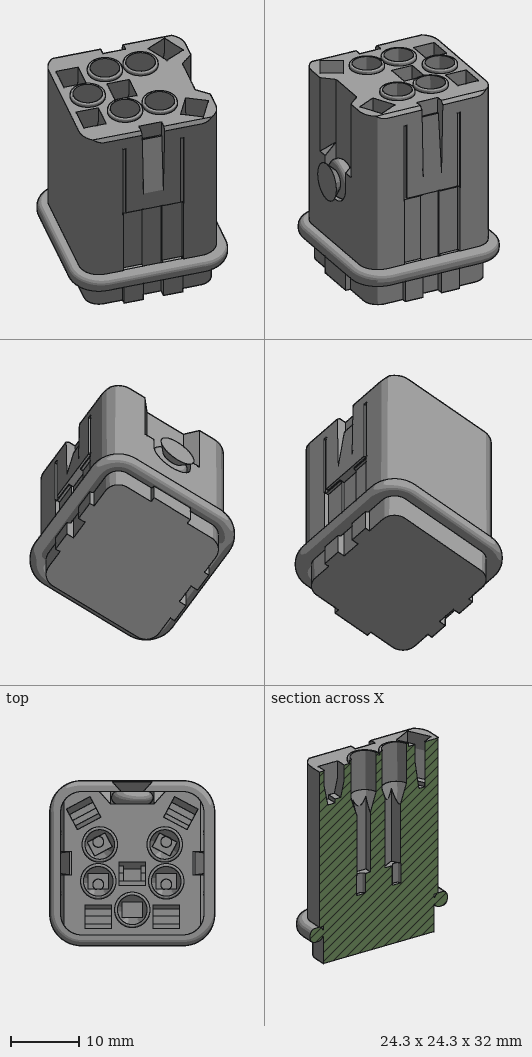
import cadquery as cq

TOTAL_HEIGHT = 32
COLLAR_HEIGHT = 0.5
TOP_Z = TOTAL_HEIGHT - COLLAR_HEIGHT

BODY_SIDE = 21.05
BODY_CORNER = 3.07
BASE_INSET = 0.77
BODY_HALF = BODY_SIDE / 2
BASE_HALF = BODY_HALF - BASE_INSET
TOP_CHAMFER = 0.5

RING_SIDE = 24.3
RING_BOTTOM_Z = 3.85
RING_HEIGHT = 2.37
RING_ROUND = 1.0
RING_WIDTH = RING_SIDE / 2 - BASE_HALF
BODY_SETTLE = 0.13
RING_TOP_Z = RING_BOTTOM_Z + RING_HEIGHT
BODY_BOTTOM_Z = RING_TOP_Z - BODY_SETTLE

COLLAR_DIAMETER = 5.2
COLLAR_ROUND = 0.25
BORE_MOUTH_DIAMETER = 4.35
CAVITY_LENGTH = 2.95
CAVITY_WIDTH = 2.3
CAVITY_FLOOR_Z = 12.8
BORE_CONE_TOP_Z = 25.6
BORE_CONE_HEIGHT = 3.2
WIRE_HOLE_DIAMETER = 1.6
WIRE_HOLE_DEPTH = 3.2
CORNER_ANGLE = 28
SIDE_X = 5.0
WIRE_HOLE_Y = 3.15
UPPER_BORE = (4.77, 2.75)
MIDDLE_BORE = (SIDE_X, -2.65)
LOWER_BORE = (0, -6.85)

POCKET_LENGTH = 3.9
POCKET_WIDTH = 3.42
POCKET_LIP = 2.55
POCKET_LEAN = 2.55
POCKET_STEP = 0.65
POCKET_STEP_Y = 0.13
POCKET_FAR_SLOPE = 0.58
POCKET_NEAR_SLOPE = 0.65
CORNER_POCKET_SLOPE = 0.93
CORNER_POCKET_LEAN = 4.15
CORNER_POCKET_STEP_Y = -0.2
FRONT_POCKET = (SIDE_X, -7.87)
CORNER_POCKET = (7.15, 7.35)
CENTER_POCKET = (0, -1.57)
CENTER_SLOT_LENGTH = 2.55
CENTER_SLOT_SLOPE = 1.02
CENTER_SLOT_DEPTH = POCKET_LIP + POCKET_LEAN * CENTER_SLOT_SLOPE / POCKET_FAR_SLOPE

LATCH_TOP_Z = 29.02
LATCH_BOTTOM_Z = 17.0
LATCH_HALF = 4.2
LATCH_SLOT = 0.5
LATCH_SLOT_DEPTH = 0.35
LATCH_LEDGE = 0.32
RAMP_BOTTOM_Z = 19.9
NOTCH_DEPTH = 1.6
RAMP_DEPTH = 1.35
RAMP_TOP_WIDTH = 3.5
RAMP_BOTTOM_WIDTH = 3.05
CHANNEL_HALF = 4.6
CHANNEL_DEPTH = BASE_INSET
GROOVE_HALF = 1.55
GROOVE_DEPTH = 1.15
RIB_WIDTH = 2.98

SCREW_Z = 16.8
NOTCH_BACK_Y = 8.7
NOTCH_MOUTH_HALF = 4.83
NOTCH_BACK_HALF = 3.2
NOTCH_FLOOR_Z = 19.35
KNOB_DIAMETER = 6.08
KNOB_FRONT_Y = 10.55
KNOB_ROUND = 0.9
SCREW_NECK_DIAMETER = 3.3
SCREW_HEAD_DIAMETER = 5.82
SCREW_FRONT_Y = 11.95

CLEAR = 0.32


def block(x, y, z):
    """Box filling the given (low, high) ranges."""
    size = (x[1] - x[0], y[1] - y[0], z[1] - z[0])
    return cq.Workplane("XY").box(*size, centered=False).translate((x[0], y[0], z[0]))


def rounded_prism(half_side, corner, z_low, z_high):
    side = 2 * half_side
    prism = cq.Workplane("XY").workplane(offset=z_low).rect(side, side).extrude(z_high - z_low)
    return prism.edges("|Z").fillet(corner)


def mirrored_pair(shape):
    """The shape together with its mirror image across X = 0."""
    return shape.union(shape.mirror("YZ"))


def turned_about_screw(profile_points):
    """Solid of revolution around the screw axis, from (radius, y) points."""
    profile = cq.Workplane("XY").polyline(profile_points).close()
    return profile.revolve(360, (0, 0), (0, 1)).translate((0, 0, SCREW_Z))


def housing():
    body = rounded_prism(BODY_HALF, BODY_CORNER, BODY_BOTTOM_Z, TOP_Z)
    base = rounded_prism(BASE_HALF, BODY_CORNER - BASE_INSET, 0, BODY_BOTTOM_Z)
    edge_cut = (
        cq.Workplane("XZ")
        .moveTo(-BODY_HALF, TOP_Z - TOP_CHAMFER)
        .lineTo(-BODY_HALF, TOP_Z)
        .lineTo(-BODY_HALF + TOP_CHAMFER, TOP_Z)
        .close()
        .extrude(BODY_HALF, both=True)
    )
    return body.cut(mirrored_pair(edge_cut)).union(base)


def sealing_ring():
    corner = BODY_CORNER - BASE_INSET
    outer = rounded_prism(RING_SIDE / 2, corner + RING_WIDTH, RING_BOTTOM_Z, RING_TOP_Z)
    inner = rounded_prism(BASE_HALF, corner, RING_BOTTOM_Z, RING_TOP_Z)
    return outer.cut(inner).faces("<Z or >Z").edges().fillet(RING_ROUND)


def base_ribs():
    """Two ribs on each X side and one on the +Y side, flush with the body above."""
    rib_y = (GROOVE_HALF, GROOVE_HALF + RIB_WIDTH)
    rib_z = (0, BODY_BOTTOM_Z)
    ribs = block((-BODY_HALF, -BASE_HALF), rib_y, rib_z)
    ribs = mirrored_pair(ribs.union(ribs.mirror("XZ")))
    back_rib = block((-NOTCH_BACK_HALF, NOTCH_BACK_HALF), (BASE_HALF, BODY_HALF), rib_z)
    return ribs.union(back_rib)


def latch_cuts():
    def recess(depth, half_width, z_low, z_high):
        x_range = (-BODY_HALF - CLEAR, -BODY_HALF + depth)
        return block(x_range, (-half_width, half_width), (z_low, z_high))

    ledge_z = LATCH_BOTTOM_Z - LATCH_LEDGE
    frame = recess(LATCH_SLOT_DEPTH, LATCH_HALF + LATCH_SLOT, ledge_z, LATCH_TOP_Z)
    frame = frame.cut(recess(LATCH_SLOT_DEPTH, LATCH_HALF, LATCH_BOTTOM_Z, LATCH_TOP_Z))
    channel = recess(CHANNEL_DEPTH, CHANNEL_HALF, BODY_BOTTOM_Z, ledge_z)
    groove = recess(GROOVE_DEPTH, GROOVE_HALF, 0, LATCH_BOTTOM_Z)
    return frame.union(channel).union(groove).union(latch_ramp())


def latch_ramp():
    """Notch open at the top whose back leans out to the surface, narrowing downwards."""
    back_x = -BODY_HALF + NOTCH_DEPTH
    side_profile = (
        cq.Workplane("XZ")
        .polyline([
            (-BODY_HALF - CLEAR, TOP_Z),
            (back_x, TOP_Z),
            (back_x, LATCH_TOP_Z),
            (-BODY_HALF + RAMP_DEPTH, LATCH_TOP_Z),
            (-BODY_HALF, RAMP_BOTTOM_Z),
            (-BODY_HALF - CLEAR, RAMP_BOTTOM_Z),
        ])
        .close()
        .extrude(RAMP_TOP_WIDTH, both=True)
    )
    front_profile = (
        cq.Workplane("YZ")
        .polyline([
            (-RAMP_TOP_WIDTH / 2, TOP_Z),
            (RAMP_TOP_WIDTH / 2, TOP_Z),
            (RAMP_BOTTOM_WIDTH / 2, RAMP_BOTTOM_Z),
            (-RAMP_BOTTOM_WIDTH / 2, RAMP_BOTTOM_Z),
        ])
        .close()
        .extrude(-BODY_SIDE)
    )
    return side_profile.intersect(front_profile)


def collar(center):
    base_z = TOP_Z - CLEAR
    ring = cq.Workplane("XY").workplane(offset=base_z).center(*center).circle(COLLAR_DIAMETER / 2)
    return ring.extrude(TOTAL_HEIGHT - base_z).faces(">Z").edges().fillet(COLLAR_ROUND)


def bore(center, angle):
    """Round bore with a conical end that runs into the rectangular cavity."""
    cone_bottom_z = BORE_CONE_TOP_Z - BORE_CONE_HEIGHT
    profile = [
        (0, cone_bottom_z),
        (CAVITY_WIDTH / 2, cone_bottom_z),
        (BORE_MOUTH_DIAMETER / 2, BORE_CONE_TOP_Z),
        (BORE_MOUTH_DIAMETER / 2, TOTAL_HEIGHT),
        (0, TOTAL_HEIGHT),
    ]
    round_part = cq.Workplane("XZ").polyline(profile).close().revolve(360, (0, 0), (0, 1))
    x_range = (-CAVITY_LENGTH / 2, CAVITY_LENGTH / 2)
    y_range = (-CAVITY_WIDTH / 2, CAVITY_WIDTH / 2)
    tool = round_part.union(block(x_range, y_range, (CAVITY_FLOOR_Z, BORE_CONE_TOP_Z)))
    return tool.rotate((0, 0, 0), (0, 0, 1), angle).translate((*center, 0))


def wire_hole(x, y):
    plane = cq.Workplane("XY").workplane(offset=CAVITY_FLOOR_Z - WIRE_HOLE_DEPTH).center(x, y)
    return plane.circle(WIRE_HOLE_DIAMETER / 2).extrude(WIRE_HOLE_DEPTH)


def pocket(center, angle=0, far_slope=POCKET_FAR_SLOPE, lean=POCKET_LEAN, step_y=POCKET_STEP_Y):
    """Pocket whose Y walls lean inwards below an upright lip, with a stepped floor."""
    half = POCKET_WIDTH / 2
    floor_z = -POCKET_LIP - lean
    low_z = floor_z - POCKET_STEP
    profile = [
        (half, 0),
        (half, -POCKET_LIP),
        (half - far_slope, floor_z),
        (step_y, floor_z),
        (step_y, low_z),
        (-half + POCKET_NEAR_SLOPE, low_z),
        (-half, -POCKET_LIP),
        (-half, 0),
    ]
    tool = cq.Workplane("YZ").polyline(profile).close().extrude(POCKET_LENGTH / 2, both=True)
    return tool.rotate((0, 0, 0), (0, 0, 1), angle).translate((*center, TOP_Z))


def center_slot():
    """Deeper slot in the middle of the centre pocket."""
    half = POCKET_WIDTH / 2
    near_y = -half + POCKET_NEAR_SLOPE
    profile = [
        (half, 0),
        (half, -POCKET_LIP),
        (half - CENTER_SLOT_SLOPE, -CENTER_SLOT_DEPTH),
        (near_y, -CENTER_SLOT_DEPTH),
        (near_y, 0),
    ]
    tool = cq.Workplane("YZ").polyline(profile).close().extrude(CENTER_SLOT_LENGTH / 2, both=True)
    return tool.translate((*CENTER_POCKET, TOP_Z))


def screw_notch():
    """Flared notch with a sloping floor, and a round-bottomed seat for the knob."""
    depth = BODY_HALF - NOTCH_BACK_Y
    flare = (
        cq.Workplane("XY")
        .polyline([
            (-NOTCH_BACK_HALF, NOTCH_BACK_Y),
            (NOTCH_BACK_HALF, NOTCH_BACK_Y),
            (NOTCH_MOUTH_HALF, BODY_HALF),
            (-NOTCH_MOUTH_HALF, BODY_HALF),
        ])
        .close()
        .extrude(TOP_Z)
    )
    above_floor = (
        cq.Workplane("YZ")
        .polyline([
            (NOTCH_BACK_Y, TOP_Z),
            (NOTCH_BACK_Y, NOTCH_FLOOR_Z + depth),
            (BODY_HALF, NOTCH_FLOOR_Z),
            (BODY_HALF, TOP_Z),
        ])
        .close()
        .extrude(NOTCH_MOUTH_HALF, both=True)
    )
    seat_plane = cq.Workplane("XZ", origin=(0, NOTCH_BACK_Y, SCREW_Z))
    seat = seat_plane.circle(NOTCH_BACK_HALF).extrude(-depth)
    x_range = (-NOTCH_BACK_HALF, NOTCH_BACK_HALF)
    shaft = block(x_range, (NOTCH_BACK_Y, BODY_HALF), (SCREW_Z, TOP_Z))
    return flare.intersect(above_floor).union(seat).union(shaft)


def screw():
    knob = cq.Workplane("XZ", origin=(0, NOTCH_BACK_Y, SCREW_Z)).circle(KNOB_DIAMETER / 2)
    knob = knob.extrude(NOTCH_BACK_Y - KNOB_FRONT_Y).edges().fillet(KNOB_ROUND)
    head = turned_about_screw([
        (0, NOTCH_BACK_Y - CLEAR),
        (SCREW_NECK_DIAMETER / 2, NOTCH_BACK_Y - CLEAR),
        (SCREW_NECK_DIAMETER / 2, KNOB_FRONT_Y),
        (SCREW_HEAD_DIAMETER / 2, SCREW_FRONT_Y),
        (0, SCREW_FRONT_Y),
    ])
    return knob.union(head)


result = housing().union(base_ribs())
result = result.cut(mirrored_pair(latch_cuts()))
result = result.union(sealing_ring())
result = result.cut(screw_notch()).union(screw())

bores = [(LOWER_BORE, 0)]
pockets = [pocket(CENTER_POCKET), center_slot()]
for side in (-1, 1):
    tilt = -side * CORNER_ANGLE
    bores.append(((side * UPPER_BORE[0], UPPER_BORE[1]), tilt))
    bores.append(((side * MIDDLE_BORE[0], MIDDLE_BORE[1]), 0))
    pockets.append(pocket((side * FRONT_POCKET[0], FRONT_POCKET[1])))
    corner_center = (side * CORNER_POCKET[0], CORNER_POCKET[1])
    corner_shape = (CORNER_POCKET_SLOPE, CORNER_POCKET_LEAN, CORNER_POCKET_STEP_Y)
    pockets.append(pocket(corner_center, tilt, *corner_shape))

for center, angle in bores:
    result = result.union(collar(center))
for center, angle in bores:
    result = result.cut(bore(center, angle))
for tool in pockets:
    result = result.cut(tool)
for x in (-SIDE_X, SIDE_X):
    for y in (-WIRE_HOLE_Y, WIRE_HOLE_Y):
        result = result.cut(wire_hole(x, y))